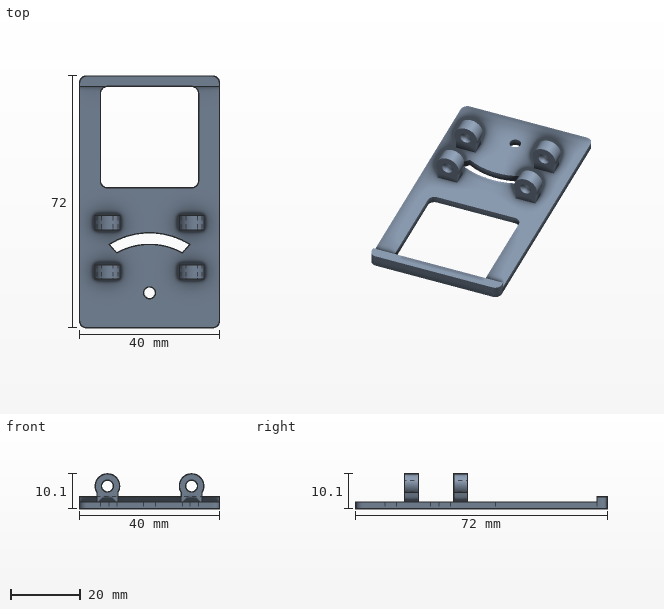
import cadquery as cq

plate_width = 40.0
plate_length = 72.0
plate_thickness = 2.0
plate_corner_radius = 2.0

lip_depth = 3.0
lip_top = 3.5

window_width = 28.0
window_front = 40.0
window_rear = plate_length - lip_depth
window_corner_radius = 2.0

overall_height = 10.1
lug_radius = 3.5
lug_neck_width = 6.05
lug_thickness = 4.0
lug_axis_height = overall_height - lug_radius
lug_offset = 12.0
lug_front_faces = (14.0, 28.0)

hole_diameter = 3.3
pivot_hole_y = 10.0

slot_outer_half_width = 11.5
slot_outer_end_y = 23.8
slot_outer_peak_y = 27.15
slot_inner_half_width = 9.35
slot_inner_end_y = 21.45
slot_inner_peak_y = 23.9


def make_plate():
    """Plate with a rear lip sharing its rounded vertical corners."""
    plate = cq.Workplane("XY").box(
        plate_width, plate_length, lip_top, centered=(True, False, False)
    )
    plate = plate.edges("|Z").fillet(plate_corner_radius)
    space_before_lip = (
        cq.Workplane("XY")
        .workplane(offset=plate_thickness)
        .rect(plate_width, 2 * window_rear)
        .extrude(lip_top - plate_thickness)
    )
    return plate.cut(space_before_lip)


def make_window():
    """Cutter for the window with rounded corners."""
    return (
        cq.Workplane("XY")
        .center(0, (window_front + window_rear) / 2)
        .rect(window_width, window_rear - window_front)
        .extrude(plate_thickness)
        .edges("|Z")
        .fillet(window_corner_radius)
    )


def make_slot():
    """Cutter for the curved slot with straight slanted ends."""
    return (
        cq.Workplane("XY")
        .moveTo(-slot_outer_half_width, slot_outer_end_y)
        .threePointArc((0, slot_outer_peak_y), (slot_outer_half_width, slot_outer_end_y))
        .lineTo(slot_inner_half_width, slot_inner_end_y)
        .threePointArc((0, slot_inner_peak_y), (-slot_inner_half_width, slot_inner_end_y))
        .close()
        .extrude(plate_thickness)
    )


def make_pivot_hole():
    """Cutter for the hole through the plate."""
    return (
        cq.Workplane("XY")
        .center(0, pivot_hole_y)
        .circle(hole_diameter / 2)
        .extrude(plate_thickness)
    )


def make_lug(x, front_y):
    """Round eye on a narrower neck, bored along Y."""
    neck = cq.Workplane("XY").box(
        lug_neck_width, lug_thickness, lug_axis_height, centered=(True, False, False)
    )
    eye_plane = cq.Workplane("XZ").center(0, lug_axis_height)
    eye = eye_plane.circle(lug_radius).extrude(-lug_thickness)
    bore = eye_plane.circle(hole_diameter / 2).extrude(-lug_thickness)
    return neck.union(eye).cut(bore).translate((x, front_y, 0))


result = make_plate().cut(make_window()).cut(make_slot()).cut(make_pivot_hole())
for lug_x in (-lug_offset, lug_offset):
    for lug_front_y in lug_front_faces:
        result = result.union(make_lug(lug_x, lug_front_y))